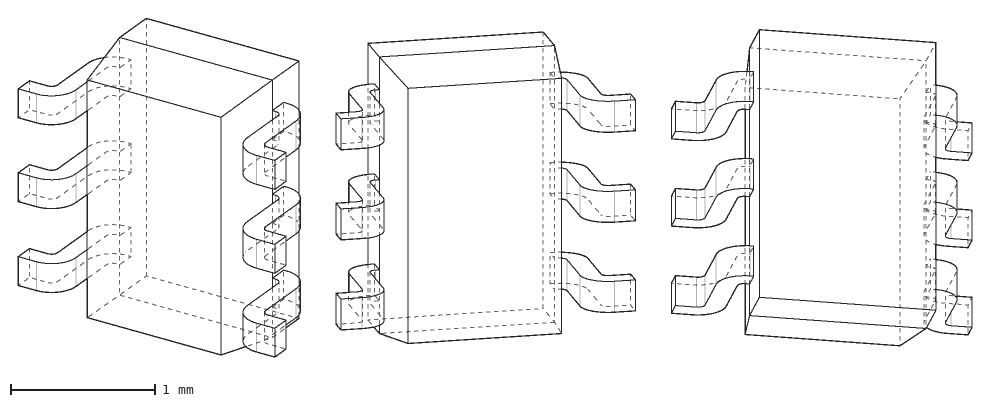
import cadquery as cq

overall_width = 2.1
overall_depth = 1.0
package_width = 1.25
package_height = 2.0
standoff = 0.1
back_depth = 0.35
draft_angle = 8.0

lead_thickness = 0.15
lead_width = 0.225
lead_pitch = 0.65
leads_per_side = 3
foot_length = 0.2
inner_bend_radius = 0.05

parting_y = overall_depth - back_depth
front_depth = parting_y - standoff
outer_bend_radius = inner_bend_radius + lead_thickness
package_side_x = -package_width / 2
toe_x = -overall_width / 2
leg_outer_x = toe_x + foot_length
leg_inner_x = leg_outer_x + lead_thickness
shoulder_y = parting_y + lead_thickness


def make_back_half():
    """Straight-sided block behind the parting plane."""
    return cq.Workplane("XY").box(
        package_width, back_depth, package_height, centered=(True, False, True)
    ).translate((0, parting_y, 0))


def make_front_half():
    """Block that narrows on all four sides from the parting plane to the front."""
    return (
        cq.Workplane("XZ", origin=(0, parting_y, 0))
        .rect(package_width, package_height)
        .extrude(front_depth, taper=draft_angle)
    )


def make_left_lead(center_z):
    """Gull-wing lead that butts against the -X side of the back half."""
    bottom_z = center_z - lead_width / 2
    foot_bend_x = leg_outer_x - inner_bend_radius
    shoulder_bend_x = leg_inner_x + inner_bend_radius
    return (
        cq.Workplane("XY", origin=(0, 0, bottom_z))
        .moveTo(toe_x, 0)
        .lineTo(foot_bend_x, 0)
        .tangentArcPoint((leg_inner_x, outer_bend_radius), relative=False)
        .lineTo(leg_inner_x, parting_y - inner_bend_radius)
        .tangentArcPoint((shoulder_bend_x, parting_y), relative=False)
        .lineTo(package_side_x, parting_y)
        .lineTo(package_side_x, shoulder_y)
        .lineTo(shoulder_bend_x, shoulder_y)
        .tangentArcPoint((leg_outer_x, shoulder_y - outer_bend_radius), relative=False)
        .lineTo(leg_outer_x, lead_thickness + inner_bend_radius)
        .tangentArcPoint((foot_bend_x, lead_thickness), relative=False)
        .lineTo(toe_x, lead_thickness)
        .close()
        .extrude(lead_width)
    )


back_half = make_back_half()
front_half = make_front_half()

leads = []
for row in range(leads_per_side):
    row_z = (row - (leads_per_side - 1) / 2) * lead_pitch
    left_lead = make_left_lead(row_z)
    right_lead = left_lead.mirror("YZ")
    leads.append(left_lead.val())
    leads.append(right_lead.val())

result = cq.Compound.makeCompound([back_half.val(), front_half.val(), *leads])